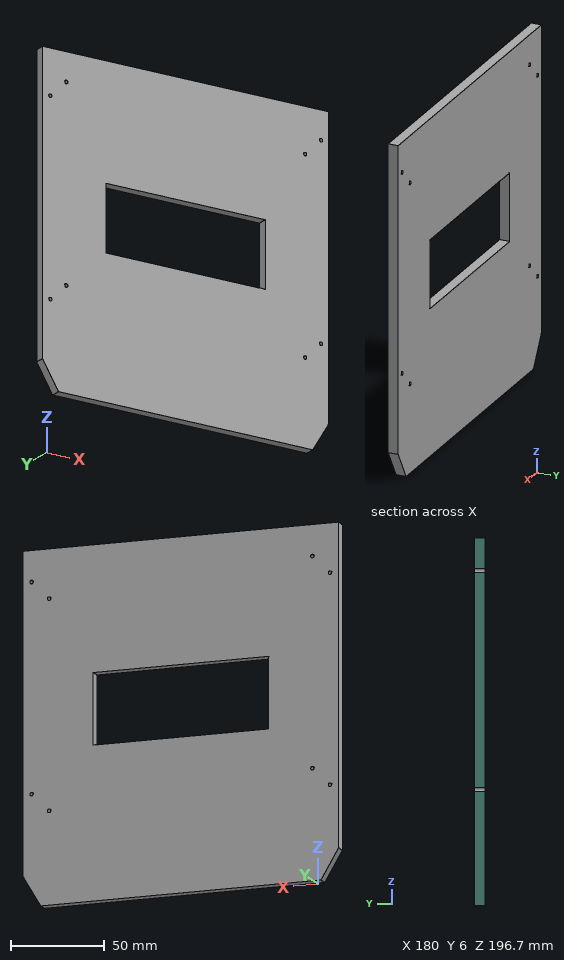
import cadquery as cq

width = 180.0
thickness = 6.0
height = 196.7

corner_width = 10.0
corner_height = 17.0

window_width = 100.0
window_height = 40.0
window_top_drop = 70.6

hole_diameter = 2.0
edge_inset = 5.0
pair_offset = 10.0
upper_hole_drop = 17.5
row_spacing = 117.0

half_width = width / 2
half_height = height / 2


def make_plate():
    outline = [
        (-half_width, half_height),
        (half_width, half_height),
        (half_width, -half_height + corner_height),
        (half_width - corner_width, -half_height),
        (-half_width + corner_width, -half_height),
        (-half_width, -half_height + corner_height),
    ]
    return cq.Workplane("XZ").polyline(outline).close().extrude(thickness / 2, both=True)


def make_window():
    center_z = half_height - window_top_drop - window_height / 2
    return cq.Workplane("XY").box(window_width, 2 * thickness, window_height).translate((0, 0, center_z))


def make_holes():
    left_x = -half_width + edge_inset
    right_x = half_width - edge_inset - pair_offset
    upper_z = half_height - upper_hole_drop
    centers = []
    for lower_hole_x in (left_x, right_x):
        for higher_hole_z in (upper_z, upper_z - row_spacing):
            centers.append((lower_hole_x, higher_hole_z - pair_offset))
            centers.append((lower_hole_x + pair_offset, higher_hole_z))
    return cq.Workplane("XZ").pushPoints(centers).circle(hole_diameter / 2).extrude(thickness, both=True)


result = make_plate().cut(make_window()).cut(make_holes())